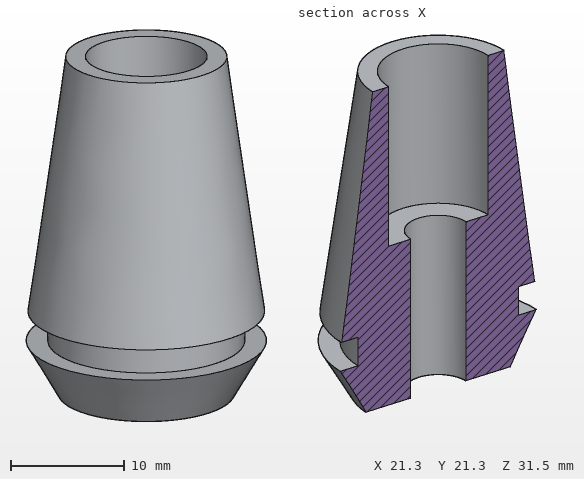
import cadquery as cq
import math

total_height = 31.5
nose_height = 4.88
groove_top = 7.65

nose_radius = 10.65
groove_radius = 8.73
body_radius = 10.5
nose_angle = 30.0
body_angle = 8.0

clamp_radius = 3.0
bore_radius = 5.4
bore_depth = 15.75


def taper(height, angle):
    """Radius lost along a cone of the given height and half-angle."""
    return height * math.tan(math.radians(angle))


nose_end_radius = nose_radius - taper(nose_height, nose_angle)
body_top_radius = body_radius - taper(total_height - groove_top, body_angle)
bore_floor = total_height - bore_depth

collet_section = (
    cq.Workplane("XZ")
    .moveTo(clamp_radius, 0)
    .lineTo(nose_end_radius, 0)
    .lineTo(nose_radius, nose_height)
    .lineTo(groove_radius, nose_height)
    .lineTo(groove_radius, groove_top)
    .lineTo(body_radius, groove_top)
    .lineTo(body_top_radius, total_height)
    .lineTo(bore_radius, total_height)
    .lineTo(bore_radius, bore_floor)
    .lineTo(clamp_radius, bore_floor)
    .close()
)

result = collet_section.revolve(360, (0, 0, 0), (0, 1, 0))